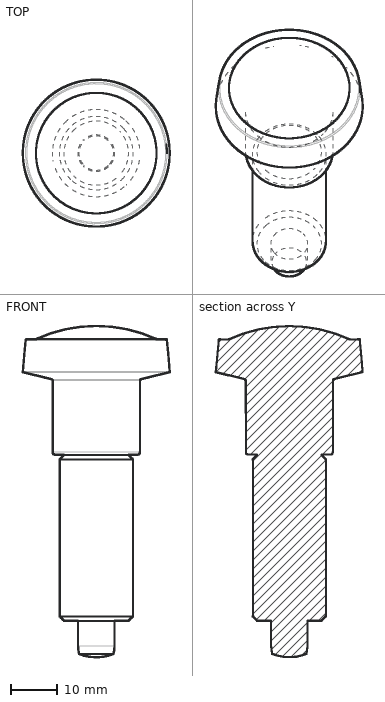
import cadquery as cq
import math

TOTAL_HEIGHT = 72.0
DOME_HEIGHT = 2.9
RIM_HEIGHT = 7.2
UNDERSIDE_HEIGHT = 1.6
SLEEVE_BOTTOM_Z = 44.0
BODY_BOTTOM_Z = 7.9
PIN_STRAIGHT_END_Z = 2.45
TIP_EDGE_Z = 0.7

DOME_RADIUS = 13.1
RIM_TOP_RADIUS = 15.3
KNOB_RADIUS = 16.0
RIM_BULGE = 0.035
RIM_TOP_ROUND = 0.3
RIM_BOTTOM_ROUND = 0.15
UNDERSIDE_FILLET = 0.3

SLEEVE_RADIUS = 9.5
SLEEVE_ROUND = 0.6
BODY_RADIUS = 8.0
BODY_CHAMFER = 1.0
PIN_RADIUS = 8.0 / 2
TIP_EDGE_RADIUS = 7.5 / 2
TAPER_MIDDLE_RADIUS = 7.85 / 2

dome_base_z = TOTAL_HEIGHT - DOME_HEIGHT
rim_bottom_z = dome_base_z - RIM_HEIGHT
sleeve_top_z = rim_bottom_z - UNDERSIDE_HEIGHT


def point_on_cap_arc(edge_radius, rise):
    """Return a point on a spherical cap: half the edge radius, and the rise above the edge there."""
    sphere_radius = (edge_radius**2 + rise**2) / (2 * rise)
    middle_radius = edge_radius / 2
    drop = sphere_radius - math.sqrt(sphere_radius**2 - middle_radius**2)
    return middle_radius, rise - drop


def revolve_about_axis(half_profile):
    return half_profile.close().revolve(360, (0, 0), (0, 1))


def make_cylinder(radius, bottom_z, top_z):
    return cq.Workplane("XY").workplane(offset=bottom_z).circle(radius).extrude(top_z - bottom_z)


def round_edge_centered_at(solid, z, radius):
    return solid.edges(cq.selectors.NearestToPointSelector((0, 0, z))).fillet(radius)


def make_knob():
    rim_middle = (
        (RIM_TOP_RADIUS + KNOB_RADIUS) / 2 + RIM_BULGE,
        (dome_base_z + rim_bottom_z) / 2,
    )
    knob = revolve_about_axis(
        cq.Workplane("XZ")
        .moveTo(0, sleeve_top_z)
        .lineTo(SLEEVE_RADIUS, sleeve_top_z)
        .lineTo(KNOB_RADIUS, rim_bottom_z)
        .threePointArc(rim_middle, (RIM_TOP_RADIUS, dome_base_z))
        .lineTo(0, dome_base_z)
    )
    knob = round_edge_centered_at(knob, rim_bottom_z, RIM_BOTTOM_ROUND)
    return round_edge_centered_at(knob, dome_base_z, RIM_TOP_ROUND)


def make_dome():
    arc_radius, arc_rise = point_on_cap_arc(DOME_RADIUS, DOME_HEIGHT)
    return revolve_about_axis(
        cq.Workplane("XZ")
        .moveTo(0, dome_base_z)
        .lineTo(DOME_RADIUS, dome_base_z)
        .threePointArc((arc_radius, dome_base_z + arc_rise), (0, TOTAL_HEIGHT))
    )


def make_sleeve():
    sleeve = make_cylinder(SLEEVE_RADIUS, SLEEVE_BOTTOM_Z, sleeve_top_z)
    return sleeve.faces("<Z").edges().fillet(SLEEVE_ROUND)


def make_body():
    body = make_cylinder(BODY_RADIUS, BODY_BOTTOM_Z, SLEEVE_BOTTOM_Z)
    return body.faces("<Z or >Z").edges().chamfer(BODY_CHAMFER)


def make_pin():
    """Straight pin whose end tapers in along an arc to a shallow domed tip."""
    taper_middle_z = (PIN_STRAIGHT_END_Z + TIP_EDGE_Z) / 2
    arc_radius, arc_rise = point_on_cap_arc(TIP_EDGE_RADIUS, TIP_EDGE_Z)
    return revolve_about_axis(
        cq.Workplane("XZ")
        .moveTo(0, BODY_BOTTOM_Z)
        .lineTo(PIN_RADIUS, BODY_BOTTOM_Z)
        .lineTo(PIN_RADIUS, PIN_STRAIGHT_END_Z)
        .threePointArc((TAPER_MIDDLE_RADIUS, taper_middle_z), (TIP_EDGE_RADIUS, TIP_EDGE_Z))
        .threePointArc((arc_radius, TIP_EDGE_Z - arc_rise), (0, 0))
    )


knob_and_sleeve = round_edge_centered_at(make_knob().union(make_sleeve()), sleeve_top_z, UNDERSIDE_FILLET)
result = knob_and_sleeve.union(make_dome()).union(make_body()).union(make_pin())